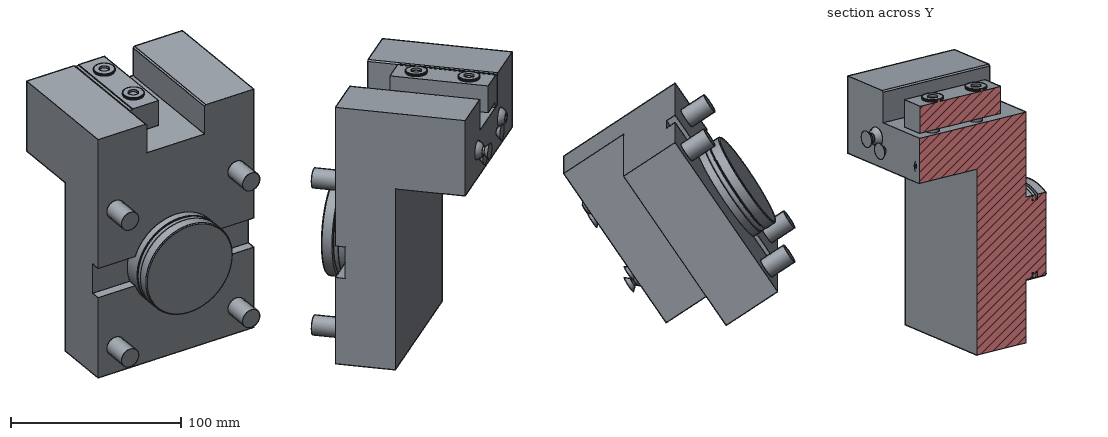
import cadquery as cq


width = 108.0
overall_height = 164.85
screw_head_height = 1.6
body_height = overall_height - screw_head_height
body_bottom = -65.0
body_top = body_bottom + body_height
leg_depth = 36.4
head_depth = 78.8
head_height = 48.0
head_front = -head_depth

slot_width = 40.0
slot_depth = 19.8
slot_center_y = -0.2
slot_chamfer = 0.9
slot_wall_y = slot_center_y - slot_width / 2
slot_floor = body_top - slot_depth

gib_length = 59.6
gib_width = 19.9
gib_front_gap = 0.4
gib_undercut_height = 2.8
gib_foot_width = 4.8
gib_relief_width = 2.0
gib_relief_depth = 0.5
gib_front = head_front + gib_front_gap

screw_y = -9.2
screw_first_offset = 14.4
screw_pitch = 32.0
screw_head_radius = 6.5
screw_head_collar_height = 0.6
screw_head_bevel = 0.3
screw_shank_radius = 4.0
screw_socket_radius = 3.0
screw_socket_depth = 1.4

fitting_z = 68.2
nozzle_y = 26.0
blank_y = -26.0
dome_radius = 5.8
dome_tip_radius = 3.0
dome_height = 3.6
dome_bulge = 0.3
neck_radius = 2.6
neck_length = 1.2
nozzle_cone_radius = 5.0
blank_socket_width = 4.4
blank_socket_depth = 1.0
side_nozzle_z = 61.6
side_nozzle_y = 19.2
side_nozzle_height = 3.0
side_nozzle_radius = 4.9
side_nozzle_root_radius = 2.3

overall_depth = 102.55
pin_length = 16.2
pin_radius = 6.0
pin_pitch_y = 84.0
pin_pitch_z = 93.6
spigot_radius = 30.0
spigot_length = 15.0
spigot_chamfer = 0.6
groove_start = 4.7
groove_width = 3.7
groove_depth = 2.8
ring_radius = 1.5
ring_bite = 0.1
keyway_width = 20.0
keyway_depth = 6.0

nozzle_height = overall_depth - head_depth - pin_length


def box(x0, x1, y0, y1, z0, z1):
    """Axis-aligned block between two opposite corners."""
    return cq.Workplane("XY").box(x1 - x0, y1 - y0, z1 - z0, centered=False).translate((x0, y0, z0))


def make_body():
    """L-shaped block with the chamfered tool slot and the cross keyway."""
    profile = [
        (0, body_bottom),
        (0, body_top),
        (head_front, body_top),
        (head_front, body_top - head_height),
        (-leg_depth, body_top - head_height),
        (-leg_depth, body_bottom),
    ]
    body = cq.Workplane("XZ").polyline(profile).close().extrude(width / 2, both=True)
    slot_half = slot_width / 2
    slot_profile = [
        (-slot_half, slot_floor),
        (-slot_half, body_top - slot_chamfer),
        (-slot_half - slot_chamfer, body_top),
        (slot_half + slot_chamfer, body_top),
        (slot_half, body_top - slot_chamfer),
        (slot_half, slot_floor),
    ]
    slot = cq.Workplane("YZ").polyline(slot_profile).close().extrude(-head_depth)
    keyway = box(-keyway_depth, 0, -width / 2, width / 2, -keyway_width / 2, keyway_width / 2)
    return body.cut(slot.translate((0, slot_center_y, 0))).cut(keyway)


def make_gib():
    """Clamping gib standing on a narrow foot against the slot wall."""
    gib_back = gib_front + gib_length
    gib_edge_y = slot_wall_y + gib_width
    gib = box(gib_front, gib_back, slot_wall_y, gib_edge_y, slot_floor, body_top)
    undercut = box(
        gib_front, gib_back,
        slot_wall_y + gib_foot_width, gib_edge_y,
        slot_floor, slot_floor + gib_undercut_height,
    )
    relief = box(
        gib_front, gib_back,
        slot_wall_y, slot_wall_y + gib_relief_width,
        body_top - gib_relief_depth, body_top,
    )
    return gib.cut(undercut).cut(relief)


def add_clamp_screws(part):
    """Add the stepped screw heads, their shanks and round sockets."""
    first_x = head_front + screw_first_offset
    for x in (first_x, first_x + screw_pitch):
        base = cq.Workplane("XY", origin=(x, screw_y, body_top))
        collar = base.circle(screw_head_radius - screw_head_bevel).extrude(screw_head_collar_height)
        rim_height = screw_head_height - screw_head_collar_height
        rim = (
            base.workplane(offset=screw_head_collar_height)
            .circle(screw_head_radius).extrude(rim_height)
            .faces(">Z").chamfer(screw_head_bevel)
        )
        shank = base.circle(screw_shank_radius).extrude(-slot_depth)
        socket = (
            base.workplane(offset=screw_head_height)
            .circle(screw_socket_radius).extrude(-screw_socket_depth)
        )
        part = part.union(shank).union(collar).union(rim).cut(socket)
    return part


def revolve_outward(outline, y, z):
    """Revolve (radius, height) outline about an axis leaving the head front towards -X."""
    plane = cq.Plane(origin=(head_front, y, z), xDir=(0, 1, 0), normal=(0, 0, 1))
    return outline(cq.Workplane(plane)).close().revolve(360, (0, 0, 0), (0, 1, 0))


def dome_outline(sketch):
    middle_radius = (dome_radius + dome_tip_radius) / 2 + dome_bulge
    middle_height = dome_height / 2 + dome_bulge
    return (
        sketch.moveTo(0, 0)
        .lineTo(dome_radius, 0)
        .threePointArc((middle_radius, middle_height), (dome_tip_radius, dome_height))
        .lineTo(0, dome_height)
    )


def nozzle_outline(sketch):
    neck_end = dome_height + neck_length
    return (
        sketch.moveTo(0, 0)
        .lineTo(neck_radius, 0)
        .lineTo(neck_radius, neck_end)
        .lineTo(nozzle_cone_radius, nozzle_height)
        .lineTo(0, nozzle_height)
    )


def side_nozzle_outline(sketch):
    return (
        sketch.moveTo(0, 0)
        .lineTo(side_nozzle_root_radius, 0)
        .lineTo(side_nozzle_radius, side_nozzle_height)
        .lineTo(0, side_nozzle_height)
    )


def add_fittings(part):
    """Add two domes, one with a nozzle and one with a hex socket, and two side nozzles."""
    for y in (nozzle_y, blank_y):
        part = part.union(revolve_outward(dome_outline, y, fitting_z))
    part = part.union(revolve_outward(nozzle_outline, nozzle_y, fitting_z))
    socket = (
        cq.Workplane("YZ", origin=(head_front - dome_height, blank_y, fitting_z))
        .polygon(6, blank_socket_width).extrude(blank_socket_depth)
    )
    part = part.cut(socket)
    for y in (side_nozzle_y, -side_nozzle_y):
        part = part.union(revolve_outward(side_nozzle_outline, y, side_nozzle_z))
    return part


def make_spigot():
    """Round spigot with a sealing ring seated in its groove."""
    spigot = (
        cq.Workplane("YZ", origin=(-keyway_depth, 0, 0))
        .circle(spigot_radius).extrude(keyway_depth + spigot_length)
        .faces(">X").chamfer(spigot_chamfer)
    )
    groove = (
        cq.Workplane("YZ", origin=(groove_start, 0, 0))
        .circle(spigot_radius).circle(spigot_radius - groove_depth).extrude(groove_width)
    )
    to_axis = spigot_radius - ring_radius
    ring_center = (groove_start + ring_radius - ring_bite, to_axis, 0)
    ring_plane = cq.Plane(origin=ring_center, xDir=(0, -1, 0), normal=(0, 0, 1))
    seal_ring = cq.Workplane(ring_plane).circle(ring_radius).revolve(360, (to_axis, 0, 0), (to_axis, 1, 0))
    return spigot.cut(groove).union(seal_ring)


def make_pins():
    """Four locating pins in a rectangle around the spigot axis."""
    return (
        cq.Workplane("YZ")
        .rect(pin_pitch_y, pin_pitch_z, forConstruction=True).vertices()
        .circle(pin_radius).extrude(pin_length)
    )


result = make_body().union(make_gib())
result = add_clamp_screws(result)
result = add_fittings(result)
result = result.union(make_spigot()).union(make_pins())